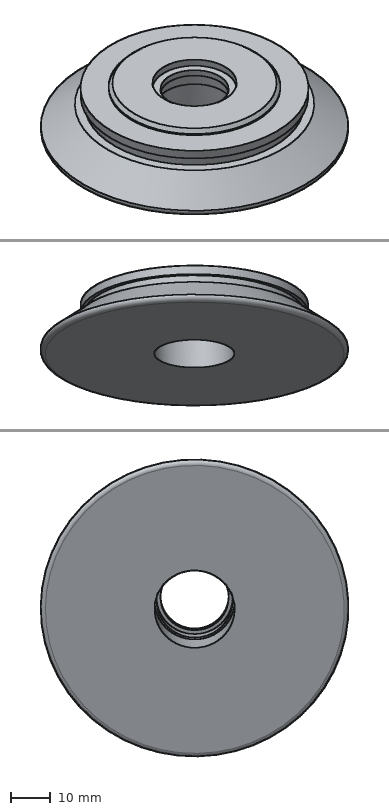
import cadquery as cq
import math

rim_diameter = 77.0
rim_height = 1.6
rim_round_radius = 1.15
skirt_top_diameter = 59.8
skirt_top_height = 8.1

neck_diameter = 55.0
collar_diameter = 57.0
collar_bottom_height = 10.7
collar_top_height = 13.0

boss_diameter = 43.0
boss_top_diameter = 41.05
boss_wall_height = 0.4
total_height = 14.5

counterbore_diameter = 21.0
counterbore_depth = 1.85
lip_diameter = 17.0
lip_thickness = 1.6
lower_bore_diameter = 20.0

plate_diameter = 50.0
plate_bore_diameter = 19.0
plate_bottom_height = 7.8

lip_top_height = total_height - counterbore_depth
plate_top_height = lip_top_height - lip_thickness


def cylinder(diameter, bottom, top):
    """Solid cylinder about the Z axis between two heights."""
    return cq.Workplane("XY").workplane(offset=bottom).circle(diameter / 2).extrude(top - bottom)


def make_cup_body():
    """Solid of revolution with the cup's outer shape, from the rounded rim up to the boss."""
    rim_radius = rim_diameter / 2
    round_center = rim_radius - rim_round_radius
    rim_top_radius = round_center + math.sqrt(rim_round_radius**2 - (rim_height - rim_round_radius) ** 2)
    return (
        cq.Workplane("XZ")
        .lineTo(round_center, 0)
        .threePointArc((rim_radius, rim_round_radius), (rim_top_radius, rim_height))
        .lineTo(skirt_top_diameter / 2, skirt_top_height)
        .lineTo(neck_diameter / 2, skirt_top_height)
        .lineTo(neck_diameter / 2, collar_bottom_height)
        .lineTo(collar_diameter / 2, collar_bottom_height)
        .lineTo(collar_diameter / 2, collar_top_height)
        .lineTo(boss_diameter / 2, collar_top_height)
        .lineTo(boss_diameter / 2, collar_top_height + boss_wall_height)
        .lineTo(boss_top_diameter / 2, total_height)
        .lineTo(0, total_height)
        .close()
        .revolve(360, (0, 0, 0), (0, 1, 0))
    )


def make_cup():
    """Cup with its stepped opening and the closed recess that holds the plate."""
    counterbore = cylinder(counterbore_diameter, lip_top_height, total_height)
    lip_opening = cylinder(lip_diameter, plate_top_height, lip_top_height)
    plate_recess = cylinder(plate_diameter, plate_bottom_height, plate_top_height)
    lower_bore = cylinder(lower_bore_diameter, 0, plate_bottom_height)
    return make_cup_body().cut(counterbore).cut(lip_opening).cut(plate_recess).cut(lower_bore)


def make_plate():
    """Flat round plate with a central hole, filling the recess in the cup."""
    plate = cylinder(plate_diameter, plate_bottom_height, plate_top_height)
    return plate.cut(cylinder(plate_bore_diameter, plate_bottom_height, plate_top_height))


cup = make_cup()
plate = make_plate()
result = cq.Compound.makeCompound([cup.val(), plate.val()])